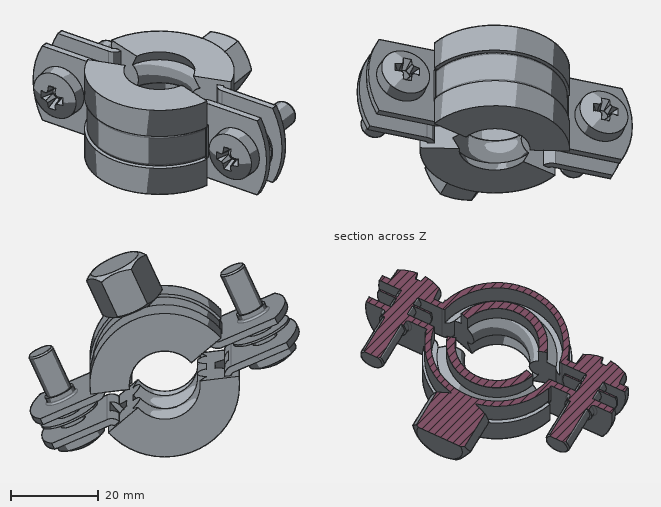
import cadquery as cq
import math


RING_WIDTH = 22.7
RING_RADIUS = 17.12
CUT_ANGLE = 17.0
LINER_MOUTH_RADIUS = 8.1
LINER_LIP_RADIUS = 8.9
LINER_GROOVE_RADIUS = 9.6
LINER_RIB_RADIUS = 7.5
RIB_CENTER_Z = 5.2
RIB_HALF_WIDTH = 3.1
LIP_MIDDLE_Z = 9.75

BEAD_RADIUS = 16.6
BEAD_HALF_WIDTH = 4.3
BEAD_FILLET = 0.75
BEAD_END_X = 16.1

STRAP_WIDTH = 20.0
STRAP_THICKNESS = 1.55
LUG_TIP_X = 31.95
LUG_CORNER_X = 29.4
LUG_INNER_Y = 2.45
LUG_OUTER_Y = LUG_INNER_Y + STRAP_THICKNESS
BEND_X = 15.5
BEND_RADIUS = 1.0

HOLLOW_FLOOR_RADIUS = 11.6
HOLLOW_FLOOR_HALF_WIDTH = 2.1

SCREW_X = 24.0
SCREW_DIAMETER = 6.0
SCREW_TIP_DIAMETER = 5.5
SCREW_TIP_LENGTH = 0.45
SCREW_END_Y = 16.0
HEAD_DIAMETER = 12.0
HEAD_RIM_DIAMETER = 11.6
HEAD_SIDE_HEIGHT = 3.0
HEAD_DOME_HEIGHT = 1.6
COLLAR_DIAMETER = 7.0
COLLAR_HEIGHT = 1.6
COLLAR_FILLET = 0.5
WASHER_DIAMETER = 14.0
WASHER_THICKNESS = 0.5

RECESS_DEPTH = 3.0
RECESS_SPAN = 6.4
RECESS_WING_WIDTH = 2.1
RECESS_FLOOR_DIAMETER = 2.8
RECESS_FLOOR_WING_WIDTH = 0.9
RECESS_CORE_DIAMETER = 3.6

HEX_ACROSS_FLATS = 13.0
HEX_TOP_Y = 28.02
HEX_BOTTOM_Y = 18.0
HEX_TOP_CHAMFER_RADIUS = 5.9
HEX_TOP_CHAMFER_HEIGHT = 1.0
HEX_BASE_CONE_ANGLE = 25.0
HEX_BASE_Y = 16.0


def half_ring():
    """Half ring on the +Y side: a revolved section trimmed to the cut angle."""
    end_z = RING_WIDTH / 2
    rib_ends = (RIB_CENTER_Z + RIB_HALF_WIDTH, RIB_CENTER_Z - RIB_HALF_WIDTH)
    section = (
        cq.Workplane("XZ")
        .moveTo(RING_RADIUS, end_z)
        .lineTo(LINER_MOUTH_RADIUS, end_z)
        .threePointArc((LINER_LIP_RADIUS, LIP_MIDDLE_Z), (LINER_GROOVE_RADIUS, rib_ends[0]))
        .threePointArc((LINER_RIB_RADIUS, RIB_CENTER_Z), (LINER_GROOVE_RADIUS, rib_ends[1]))
        .lineTo(LINER_GROOVE_RADIUS, -rib_ends[1])
        .threePointArc((LINER_RIB_RADIUS, -RIB_CENTER_Z), (LINER_GROOVE_RADIUS, -rib_ends[0]))
        .threePointArc((LINER_LIP_RADIUS, -LIP_MIDDLE_Z), (LINER_MOUTH_RADIUS, -end_z))
        .lineTo(RING_RADIUS, -end_z)
        .lineTo(RING_RADIUS, -BEAD_HALF_WIDTH)
        .lineTo(BEAD_RADIUS - BEAD_FILLET, -BEAD_HALF_WIDTH)
        .radiusArc((BEAD_RADIUS, BEAD_FILLET - BEAD_HALF_WIDTH), -BEAD_FILLET)
        .lineTo(BEAD_RADIUS, BEAD_HALF_WIDTH - BEAD_FILLET)
        .radiusArc((BEAD_RADIUS - BEAD_FILLET, BEAD_HALF_WIDTH), -BEAD_FILLET)
        .lineTo(RING_RADIUS, BEAD_HALF_WIDTH)
        .close()
    )
    sweep = 180 - 2 * CUT_ANGLE
    ring = section.revolve(sweep, (0, 0, 0), (0, 1, 0))
    return ring.rotate((0, 0, 0), (0, 0, 1), CUT_ANGLE)


def lug_outline():
    """Lug outline in XZ with a rounded outer end, reaching in to the ring."""
    half_width = STRAP_WIDTH / 2
    return (
        cq.Workplane("XZ")
        .moveTo(0, half_width)
        .lineTo(LUG_CORNER_X, half_width)
        .threePointArc((LUG_TIP_X, 0), (LUG_CORNER_X, -half_width))
        .lineTo(0, -half_width)
        .close()
        .extrude(-RING_RADIUS)
    )


def lug():
    """Screw lug on the +X side of the +Y half, bent round into the ring."""
    center_y = LUG_OUTER_Y + BEND_RADIUS
    outer_bend = BEND_RADIUS + STRAP_THICKNESS
    end_angle = math.pi + math.atan2(center_y, BEND_X)
    middle_angle = (end_angle + 1.5 * math.pi) / 2

    def bend_point(radius, angle):
        return (BEND_X + radius * math.cos(angle), center_y + radius * math.sin(angle))

    strip = (
        cq.Workplane("XY")
        .moveTo(LUG_TIP_X, LUG_INNER_Y)
        .lineTo(BEND_X, LUG_INNER_Y)
        .threePointArc(bend_point(outer_bend, middle_angle), bend_point(outer_bend, end_angle))
        .lineTo(*bend_point(BEND_RADIUS, end_angle))
        .threePointArc(bend_point(BEND_RADIUS, middle_angle), (BEND_X, LUG_OUTER_Y))
        .lineTo(LUG_TIP_X, LUG_OUTER_Y)
        .close()
        .extrude(STRAP_WIDTH / 2, both=True)
    )
    return strip.intersect(lug_outline()).union(bead_end())


def bead_end():
    """End of the strap bead, filling the bend between the ring's cut and the lug."""
    cut = math.radians(CUT_ANGLE)
    inner_x = BEND_X - BEND_RADIUS
    return (
        cq.Workplane("XY")
        .moveTo(inner_x, LUG_OUTER_Y)
        .lineTo(BEAD_END_X, LUG_OUTER_Y)
        .lineTo(BEAD_END_X, BEAD_END_X * math.tan(cut))
        .lineTo(inner_x, inner_x * math.tan(cut))
        .close()
        .extrude(BEAD_HALF_WIDTH, both=True)
    )


def bead_hollow():
    """Annular cutter for the hollow behind the bead; it also grooves the lug bends."""
    bead_inner = BEAD_RADIUS - STRAP_THICKNESS
    bend_center = math.hypot(BEND_X, LUG_OUTER_Y + BEND_RADIUS)
    strap_inner = bend_center - BEND_RADIUS - STRAP_THICKNESS
    half_width = BEAD_HALF_WIDTH - BEAD_FILLET
    return (
        cq.Workplane("XZ")
        .moveTo(HOLLOW_FLOOR_RADIUS, HOLLOW_FLOOR_HALF_WIDTH)
        .lineTo(strap_inner, half_width)
        .lineTo(bead_inner, half_width)
        .lineTo(bead_inner, -half_width)
        .lineTo(strap_inner, -half_width)
        .lineTo(HOLLOW_FLOOR_RADIUS, -HOLLOW_FLOOR_HALF_WIDTH)
        .close()
        .revolve(360, (0, 0, 0), (0, 1, 0))
    )


def clamp_half():
    right_lug = lug()
    half = half_ring().union(right_lug).union(right_lug.mirror("YZ"))
    return half.cut(bead_hollow())


def cross_recess(top_y):
    """Tapered cross-shaped cutter opening at top_y on the -Y end of the Y axis."""
    mouth = cq.Workplane("XZ", origin=(0, top_y, 0))
    core = (
        mouth.circle(RECESS_CORE_DIAMETER / 2)
        .workplane(offset=-RECESS_DEPTH)
        .circle(RECESS_FLOOR_DIAMETER / 2)
        .loft()
    )
    wing = (
        mouth.rect(RECESS_SPAN, RECESS_WING_WIDTH)
        .workplane(offset=-RECESS_DEPTH)
        .rect(RECESS_FLOOR_DIAMETER, RECESS_FLOOR_WING_WIDTH)
        .loft()
    )
    crossing_wing = wing.rotate((0, 0, 0), (0, 1, 0), 90)
    return core.union(wing).union(crossing_wing)


def screw():
    """Domed cross-recess screw on the Y axis with its washer and threaded collar."""
    seat_y = -LUG_OUTER_Y
    rim_y = seat_y - HEAD_SIDE_HEIGHT
    apex_y = rim_y - HEAD_DOME_HEIGHT
    rim_radius = HEAD_RIM_DIAMETER / 2
    dome_radius = (rim_radius**2 + HEAD_DOME_HEIGHT**2) / (2 * HEAD_DOME_HEIGHT)
    shank_radius = SCREW_DIAMETER / 2
    body = (
        cq.Workplane("XY")
        .moveTo(0, apex_y)
        .radiusArc((rim_radius, rim_y), -dome_radius)
        .lineTo(HEAD_DIAMETER / 2, seat_y)
        .lineTo(shank_radius, seat_y)
        .lineTo(shank_radius, SCREW_END_Y - SCREW_TIP_LENGTH)
        .lineTo(SCREW_TIP_DIAMETER / 2, SCREW_END_Y)
        .lineTo(0, SCREW_END_Y)
        .close()
        .revolve(360, (0, 0, 0), (0, 1, 0))
    )
    collar_radius = COLLAR_DIAMETER / 2
    collar_top = LUG_OUTER_Y + COLLAR_HEIGHT
    collar = (
        cq.Workplane("XY")
        .moveTo(0, LUG_OUTER_Y)
        .lineTo(collar_radius + COLLAR_FILLET, LUG_OUTER_Y)
        .radiusArc((collar_radius, LUG_OUTER_Y + COLLAR_FILLET), COLLAR_FILLET)
        .lineTo(collar_radius, collar_top)
        .lineTo(0, collar_top)
        .close()
        .revolve(360, (0, 0, 0), (0, 1, 0))
    )
    washer = cq.Workplane("XZ").circle(WASHER_DIAMETER / 2).extrude(WASHER_THICKNESS)
    return body.union(collar).union(washer).cut(cross_recess(apex_y))


def hex_boss():
    """Hexagonal boss along +Y with conical ends; two of its corners lie on the X axis."""
    corner_radius = HEX_ACROSS_FLATS / 2 / math.cos(math.radians(30))
    prism = (
        cq.Workplane("XZ", origin=(0, HEX_BASE_Y, 0))
        .polygon(6, 2 * corner_radius)
        .extrude(HEX_BASE_Y - HEX_TOP_Y)
    )
    cone_height = HEX_BOTTOM_Y - HEX_BASE_Y
    base_radius = corner_radius - cone_height / math.tan(math.radians(HEX_BASE_CONE_ANGLE))
    envelope = (
        cq.Workplane("XY")
        .moveTo(0, HEX_BASE_Y)
        .lineTo(base_radius, HEX_BASE_Y)
        .lineTo(corner_radius, HEX_BOTTOM_Y)
        .lineTo(corner_radius, HEX_TOP_Y - HEX_TOP_CHAMFER_HEIGHT)
        .lineTo(HEX_TOP_CHAMFER_RADIUS, HEX_TOP_Y)
        .lineTo(0, HEX_TOP_Y)
        .close()
        .revolve(360, (0, 0, 0), (0, 1, 0))
    )
    return prism.intersect(envelope)


upper_half = clamp_half().union(hex_boss())
result = upper_half.union(clamp_half().mirror("XZ"))
for side in (-1, 1):
    result = result.union(screw().translate((side * SCREW_X, 0, 0)))